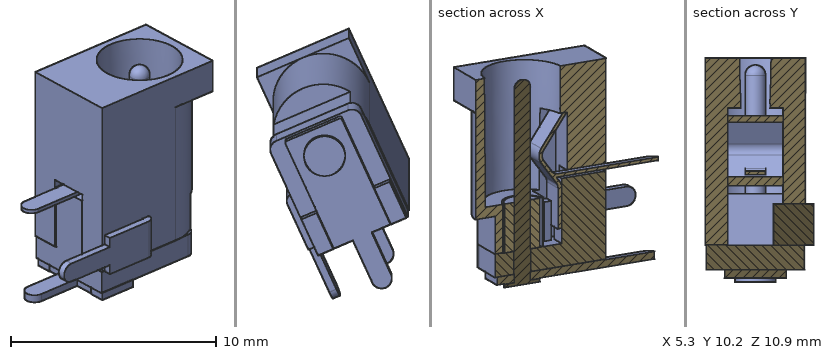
import cadquery as cq
import math


tail_width = 1.0
spring_sheet = 0.2
pin_diameter = 1.0

housing_width = 4.9
housing_height = 9.11
back_y = 2.6
front_y = -4.63
collar_height = 1.7
back_radius = housing_width / 2
flat_back_y = 1.51
flat_back_height = 1.93

mouth_radius = 2.1
floor_radius = 2.04
floor_z = 2.51
sleeve_hole_diameter = 2.2

slot_width = 2.01
slot_height = 3.71
pocket_back_y = -1.18

cover_width = 4.8
cover_thickness = 1.2
cover_front_y = -4.6
cover_corner_radius = 0.49
tongue_width = 1.88
tongue_height = 3.34
foot_inner_x = 1.54
foot_outer_x = 2.35
foot_height = 0.44
foot_front_y = -4.52
foot_back_y = -2.51

pin_shoulder_z = 8.27
pin_head_diameter = 2.01
pin_head_thickness = 0.2
sleeve_diameter = 2.01

pin_sheet = 0.4
pin_plate_width = 3.01
pin_plate_back_y = 1.4
pin_plate_front_y = foot_front_y
pin_plate_corner_radius = 0.11
pin_tail_tip_y = -7.34

side_sheet = 0.38
side_gap = 0.02
side_plate_height = 2.01
side_plate_back_y = -1.57
side_plate_front_y = -4.47
side_leg_end_x = 0.87
side_tail_tip_y = -7.46

spring_width = 2.68
spring_lean = 36.0
spring_crest_y = -0.91
spring_end_y = -2.45
spring_crest_radius = 0.65
spring_bottom_z = 0.76
spring_bend_z = 3.07
spring_bend_radius = 0.22
spring_tail_bottom_z = 3.41
spring_tail_tip_y = -7.55
spring_tail_fillet = 0.33

cover_bottom_z = -cover_thickness
pin_plate_bottom_z = cover_bottom_z - pin_sheet
leg_front_y = side_plate_back_y - side_sheet
spring_front_y = leg_front_y - spring_sheet
lean = math.radians(spring_lean)
spring_slant = spring_sheet / math.cos(lean)
crest_rounding = spring_crest_radius * (1 / math.cos(lean) - 1)
crest_front_y = spring_crest_y + crest_rounding - spring_slant
arm_height = (crest_front_y - spring_front_y) / math.tan(lean)
spring_crest_z = spring_bend_z + arm_height
spring_top_z = spring_crest_z + (crest_front_y - spring_end_y) / math.tan(lean)


def box(x_range, y_range, z_range):
    """Axis-aligned block between the given limits."""
    size = [limits[1] - limits[0] for limits in (x_range, y_range, z_range)]
    corner = (x_range[0], y_range[0], z_range[0])
    return cq.Workplane("XY").box(*size, centered=False).translate(corner)


def centred_box(width, y_range, z_range):
    """Block that is symmetric about X = 0."""
    return box((-width / 2, width / 2), y_range, z_range)


def cylinder(diameter, bottom_z, top_z):
    """Upright cylinder on the socket axis."""
    return cq.Workplane("XY").workplane(offset=bottom_z).circle(diameter / 2).extrude(top_z - bottom_z)


def flat_tail(root_y, tip_y, bottom_z, thickness):
    """Horizontal strip along -Y with a fully rounded tip."""
    half = tail_width / 2
    shoulder_y = tip_y + half
    return (
        cq.Workplane("XY")
        .workplane(offset=bottom_z)
        .moveTo(-half, root_y)
        .lineTo(-half, shoulder_y)
        .threePointArc((0, tip_y), (half, shoulder_y))
        .lineTo(half, root_y)
        .close()
        .extrude(thickness)
    )


def round_edge(solid, y, z, radius):
    """Round the edge that runs along X at the given Y and Z."""
    edge = cq.selectors.NearestToPointSelector((0, y, z))
    return solid.edges(edge).fillet(radius)


def make_housing():
    half = housing_width / 2
    arc_centre_y = back_y - back_radius
    body = (
        cq.Workplane("XY")
        .moveTo(-half, front_y)
        .lineTo(half, front_y)
        .lineTo(half, arc_centre_y)
        .threePointArc((0, back_y), (-half, arc_centre_y))
        .close()
        .extrude(housing_height)
    )
    collar_z = (housing_height - collar_height, housing_height)
    body = body.union(centred_box(housing_width, (front_y, back_y), collar_z))
    body = body.cut(centred_box(housing_width, (flat_back_y, back_y), (0, flat_back_height)))

    socket = (
        cq.Workplane("XZ")
        .moveTo(0, floor_z)
        .lineTo(floor_radius, floor_z)
        .lineTo(mouth_radius, housing_height)
        .lineTo(0, housing_height)
        .close()
        .revolve(360, (0, 0), (0, 1))
    )
    body = body.cut(socket).cut(cylinder(sleeve_hole_diameter, 0, floor_z))

    body = body.cut(centred_box(slot_width, (front_y, spring_front_y), (0, slot_height)))
    body = body.cut(centred_box(spring_width, (spring_end_y, pocket_back_y), (0, spring_top_z)))
    notch_y = (leg_front_y, side_plate_back_y)
    return body.cut(box((side_leg_end_x, half), notch_y, (0, side_plate_height)))


def make_cover():
    cover = centred_box(cover_width, (cover_front_y, flat_back_y), (cover_bottom_z, 0))
    cover = cover.edges("|Z and >Y").fillet(cover_corner_radius)
    cover = cover.union(centred_box(tongue_width, (cover_front_y, spring_front_y), (0, tongue_height)))
    foot_z = (cover_bottom_z - foot_height, cover_bottom_z)
    for foot_x in ((-foot_outer_x, -foot_inner_x), (foot_inner_x, foot_outer_x)):
        cover = cover.union(box(foot_x, (foot_front_y, foot_back_y), foot_z))
    return cover.cut(cylinder(pin_diameter, cover_bottom_z, 0))


def make_pin():
    shaft = cylinder(pin_diameter, pin_plate_bottom_z, pin_shoulder_z)
    tip = cq.Workplane("XY").sphere(pin_diameter / 2).translate((0, 0, pin_shoulder_z))
    head_bottom_z = pin_plate_bottom_z - pin_head_thickness
    return shaft.union(tip).union(cylinder(pin_head_diameter, head_bottom_z, pin_plate_bottom_z))


def make_sleeve():
    return cylinder(sleeve_diameter, 0, floor_z).cut(cylinder(pin_diameter, 0, floor_z))


def make_pin_terminal():
    plate_z = (pin_plate_bottom_z, cover_bottom_z)
    plate = centred_box(pin_plate_width, (pin_plate_front_y, pin_plate_back_y), plate_z)
    plate = plate.edges("|Z and >Y").fillet(pin_plate_corner_radius)
    plate = plate.union(flat_tail(pin_plate_front_y, pin_tail_tip_y, pin_plate_bottom_z, pin_sheet))
    return plate.cut(cylinder(pin_diameter, *plate_z))


def make_side_terminal():
    inner_x = housing_width / 2 + side_gap
    outer_x = inner_x + side_sheet
    plate_z = (0, side_plate_height)
    plate = box((inner_x, outer_x), (side_plate_front_y, side_plate_back_y), plate_z)
    leg = box((side_leg_end_x, outer_x), (leg_front_y, side_plate_back_y), plate_z)
    bent = plate.union(leg).edges("|Z and >X and >Y").fillet(side_sheet)

    centre_z = side_plate_height / 2
    tail = flat_tail(side_plate_front_y, side_tail_tip_y, 0, side_sheet)
    tail = tail.rotate((0, 0, 0), (0, 1, 0), 90).translate((inner_x, 0, centre_z))
    return bent.union(tail)


def make_spring():
    inner_bend_z = spring_bend_z - spring_sheet * math.tan(lean / 2)
    strip = (
        cq.Workplane("YZ")
        .moveTo(spring_front_y, spring_bottom_z)
        .lineTo(spring_front_y, spring_bend_z)
        .lineTo(crest_front_y, spring_crest_z)
        .lineTo(spring_end_y, spring_top_z)
        .lineTo(spring_end_y + spring_slant, spring_top_z)
        .lineTo(crest_front_y + spring_slant, spring_crest_z)
        .lineTo(leg_front_y, inner_bend_z)
        .lineTo(leg_front_y, spring_bottom_z)
        .close()
        .extrude(spring_width / 2, both=True)
    )
    strip = round_edge(strip, spring_front_y, spring_bend_z, spring_bend_radius)
    strip = round_edge(strip, leg_front_y, inner_bend_z, spring_bend_radius + spring_sheet)
    strip = round_edge(strip, crest_front_y, spring_crest_z, spring_crest_radius - spring_sheet)
    strip = round_edge(strip, crest_front_y + spring_slant, spring_crest_z, spring_crest_radius)

    tail_top_z = spring_tail_bottom_z + spring_sheet
    root_y = spring_front_y + (tail_top_z - spring_bend_z) * math.tan(lean)
    spring = strip.union(flat_tail(root_y, spring_tail_tip_y, spring_tail_bottom_z, spring_sheet))
    return round_edge(spring, root_y, tail_top_z, spring_tail_fillet)


housing = make_housing()
cover = make_cover()
pin = make_pin()
sleeve = make_sleeve()
pin_terminal = make_pin_terminal()
side_terminal = make_side_terminal()
spring = make_spring()

bodies = [housing, cover, pin, sleeve, pin_terminal, side_terminal, spring]
result = cq.Compound.makeCompound([body.solids().val() for body in bodies])